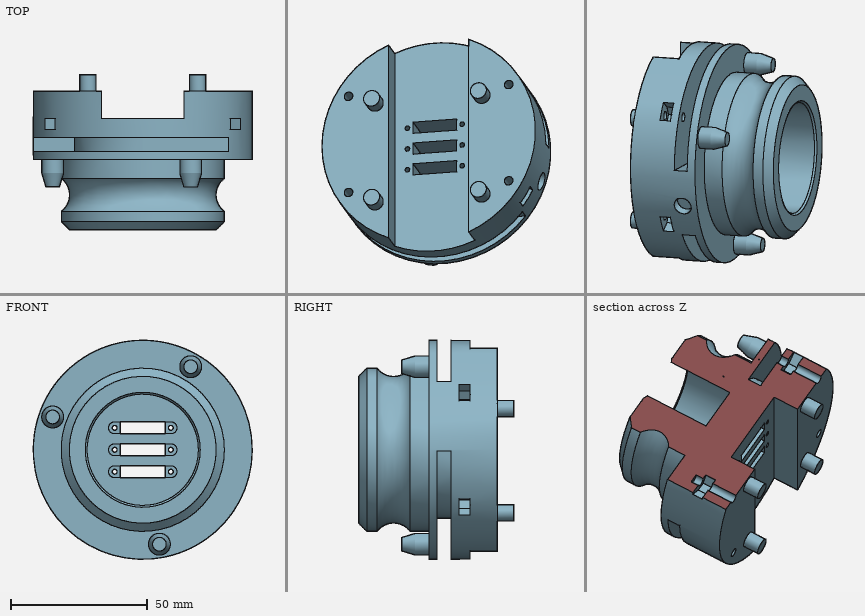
import cadquery as cq
import math


body_radius = 40.0
body_depth = 25.0
flange_thickness = 3.0
lock_slot_width = 5.0
lock_slot_radius = 25.0
lock_slot_end_height = 0.5

neck_radius = 29.8
neck_length = 25.7
neck_straight = 6.9
groove_width = 12.0
groove_depth = 3.0
rim_chamfer = 3.0
bore_radius = 20.3
bore_chamfer = 0.7
bore_floor_y = 0.0

opening_count = 3
opening_pitch = 8.0
opening_height = 4.3
opening_length = 16.3
seat_length = 25.0
seat_depth = 4.0
screw_spacing = 20.5
screw_diameter = 1.7

channel_width = 30.0
channel_depth = 10.0

guide_pin_angles = (60.0, 160.0, 280.0)
guide_pin_circle_radius = 35.0
guide_pin_radius = 4.0
guide_pin_tip_radius = 2.5
guide_pin_straight = 5.0
guide_pin_length = 10.0

back_pin_radius = 3.0
back_pin_length = 6.0
back_pin_x = 20.0
back_pin_heights = (15.0, -23.0)

nut_x = 30.0
nut_z = 18.5
nut_corner_diameter = 7.0
nut_pocket_length = 4.0
nut_pocket_start_y = 11.0
nut_screw_diameter = 3.2

side_hole_diameter = 6.5
side_hole_angle = 199.0
side_hole_floor_radius = 36.3

lock_slot_end_y = flange_thickness + lock_slot_width
lock_slot_mid_y = flange_thickness + lock_slot_width / 2
cut_margin = 5.0


def front_plane(y):
    """Sketch plane at the given Y: local x is +X, local y is +Z, and extrusion runs towards -Y."""
    return cq.Workplane("XZ", origin=(0, y, 0))


def cylinder(x, z, radius, start_y, end_y):
    """Cylinder along Y between two Y positions."""
    return front_plane(end_y).center(x, z).circle(radius).extrude(end_y - start_y)


def make_turned_body():
    """Flange, body, grooved neck and blind bore as one revolved profile around Y."""
    groove_end = neck_straight + groove_width
    return (
        cq.Workplane("XY")
        .moveTo(0, bore_floor_y)
        .lineTo(bore_radius, bore_floor_y)
        .lineTo(bore_radius, bore_chamfer - neck_length)
        .lineTo(bore_radius + bore_chamfer, -neck_length)
        .lineTo(neck_radius - rim_chamfer, -neck_length)
        .lineTo(neck_radius, rim_chamfer - neck_length)
        .lineTo(neck_radius, -groove_end)
        .threePointArc(
            (neck_radius - groove_depth, -neck_straight - groove_width / 2),
            (neck_radius, -neck_straight),
        )
        .lineTo(neck_radius, 0)
        .lineTo(body_radius, 0)
        .lineTo(body_radius, body_depth)
        .lineTo(0, body_depth)
        .close()
        .revolve(360, (0, 0, 0), (0, 1, 0))
    )


def make_lock_slots():
    """Two slots half a turn apart: a quarter-round floor that runs out along a tangent plane."""
    outside = body_radius + cut_margin
    arc_start = math.sqrt(lock_slot_radius**2 - lock_slot_end_height**2)
    arc_middle = lock_slot_radius * math.sqrt(0.5)
    upper = (
        front_plane(lock_slot_end_y)
        .moveTo(-outside, lock_slot_end_height)
        .lineTo(-arc_start, lock_slot_end_height)
        .threePointArc((-arc_middle, arc_middle), (0, lock_slot_radius))
        .lineTo(outside, lock_slot_radius)
        .lineTo(outside, outside)
        .lineTo(-outside, outside)
        .close()
        .extrude(lock_slot_width)
    )
    return upper.union(upper.rotate((0, 0, 0), (0, 1, 0), 180))


def make_channel():
    """Straight channel running along Z across the back of the body."""
    return front_plane(body_depth).rect(channel_width, 2 * (body_radius + cut_margin)).extrude(channel_depth)


def make_connector_opening(z):
    """Round-ended seat with a rectangular window and two screw holes through to the channel."""
    through = body_depth - bore_floor_y
    seat_end_y = bore_floor_y + seat_depth
    seat = front_plane(seat_end_y).center(0, z).slot2D(seat_length, opening_height).extrude(seat_depth)
    window = front_plane(body_depth).center(0, z).rect(opening_length, opening_height).extrude(through)
    screws = (
        front_plane(body_depth)
        .pushPoints([(-screw_spacing / 2, z), (screw_spacing / 2, z)])
        .circle(screw_diameter / 2)
        .extrude(through)
    )
    return seat.union(window).union(screws)


def make_guide_pin(angle):
    """Pin on the flange's front face with a tapered tip."""
    x = guide_pin_circle_radius * math.cos(math.radians(angle))
    z = guide_pin_circle_radius * math.sin(math.radians(angle))
    return (
        cq.Workplane("XY")
        .moveTo(0, flange_thickness)
        .lineTo(guide_pin_radius, flange_thickness)
        .lineTo(guide_pin_radius, -guide_pin_straight)
        .lineTo(guide_pin_tip_radius, -guide_pin_length)
        .lineTo(0, -guide_pin_length)
        .close()
        .revolve(360, (0, 0, 0), (0, 1, 0))
        .translate((x, 0, z))
    )


def make_back_pin(x, z):
    """Straight pin behind the back face, rooted in the body down to the channel floor level."""
    return cylinder(x, z, back_pin_radius, body_depth - channel_depth, body_depth + back_pin_length)


def make_nut_pocket(x_side, z_side):
    """Hexagonal nut seat open to the rim, with a screw hole from the back to the depth of the lock slots."""
    center_radius = math.hypot(nut_x, nut_z)
    angle = math.degrees(math.atan2(z_side * nut_z, x_side * nut_x))
    end_y = nut_pocket_start_y + nut_pocket_length
    entry_length = body_radius + cut_margin - center_radius
    seat = (
        front_plane(end_y)
        .center(center_radius, 0)
        .polygon(6, nut_corner_diameter)
        .extrude(nut_pocket_length)
        .rotate((center_radius, 0, 0), (center_radius, 1, 0), 90)
    )
    entry = (
        front_plane(end_y)
        .center(center_radius + entry_length / 2, 0)
        .rect(entry_length, nut_corner_diameter)
        .extrude(nut_pocket_length)
    )
    screw = cylinder(center_radius, 0, nut_screw_diameter / 2, lock_slot_end_y, body_depth)
    return seat.union(entry).union(screw).rotate((0, 0, 0), (0, 1, 0), -angle)


def make_side_hole():
    """Blind radial hole level with the lock slots."""
    return (
        cq.Workplane("YZ", origin=(side_hole_floor_radius, lock_slot_mid_y, 0))
        .circle(side_hole_diameter / 2)
        .extrude(body_radius + cut_margin - side_hole_floor_radius)
        .rotate((0, 0, 0), (0, 1, 0), -side_hole_angle)
    )


result = make_turned_body().cut(make_lock_slots()).cut(make_channel()).cut(make_side_hole())

for row in range(opening_count):
    result = result.cut(make_connector_opening((row - (opening_count - 1) / 2) * opening_pitch))

for x_side in (-1, 1):
    for z_side in (-1, 1):
        result = result.cut(make_nut_pocket(x_side, z_side))

for angle in guide_pin_angles:
    result = result.union(make_guide_pin(angle))

for x in (-back_pin_x, back_pin_x):
    for z in back_pin_heights:
        result = result.union(make_back_pin(x, z))